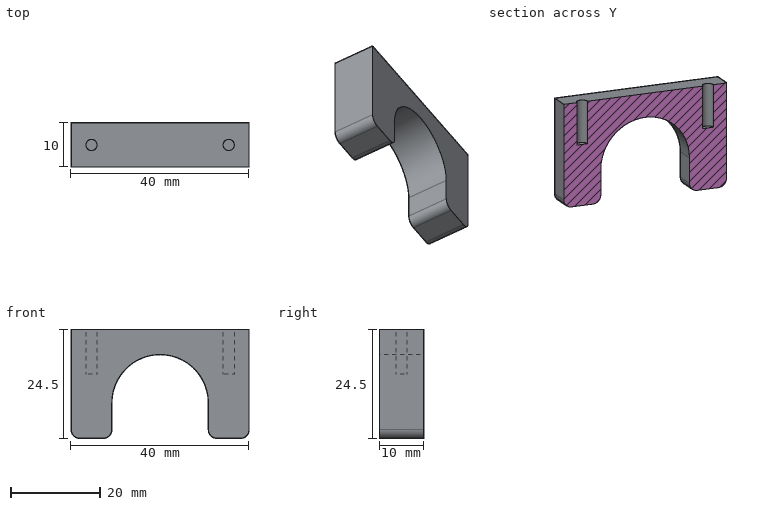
import cadquery as cq

length = 40.0
thickness = 10.0
height = 24.48

arch_radius = 10.8
crown_thickness = 5.68
arch_center_z = height - crown_thickness - arch_radius

leg_fillet = 2.0

hole_diameter = 2.5
hole_spacing = 30.8
hole_depth = 10.0


def bridge_body():
    """Arched block standing on two legs, with its feet on Z = 0."""
    half_length = length / 2
    half_thickness = thickness / 2
    body = (
        cq.Workplane("XZ")
        .moveTo(-half_length, 0)
        .lineTo(-arch_radius, 0)
        .lineTo(-arch_radius, arch_center_z)
        .threePointArc((0, arch_center_z + arch_radius), (arch_radius, arch_center_z))
        .lineTo(arch_radius, 0)
        .lineTo(half_length, 0)
        .lineTo(half_length, height)
        .lineTo(-half_length, height)
        .close()
        .extrude(half_thickness, both=True)
    )
    return body.faces("<Z").edges("|Y").fillet(leg_fillet)


def screw_holes():
    """Pair of vertical cylinders reaching down from the top face."""
    return (
        cq.Workplane("XY", origin=(0, 0, height))
        .pushPoints([(-hole_spacing / 2, 0), (hole_spacing / 2, 0)])
        .circle(hole_diameter / 2)
        .extrude(-hole_depth)
    )


result = bridge_body().cut(screw_holes())